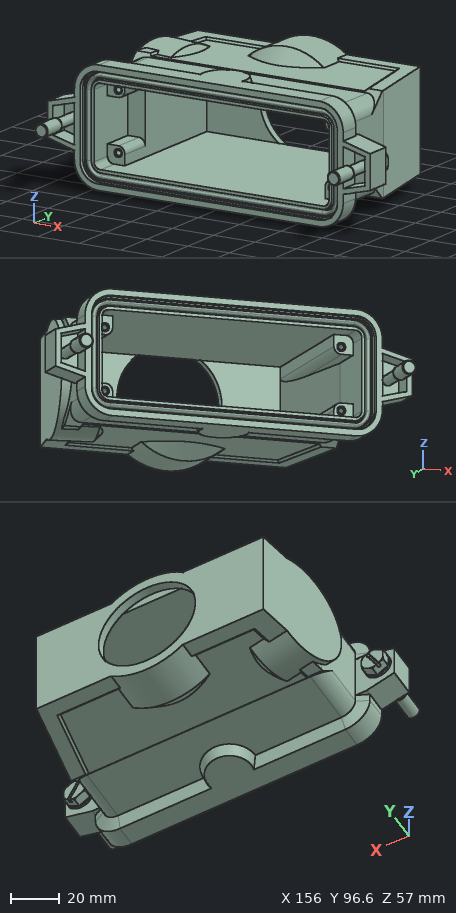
import math

import cadquery as cq


hood_depth = 80.0
wall_slope = 10.0
lean = math.tan(math.radians(wall_slope))

flange_length = 130.0
flange_width = 53.4
flange_corner = 11.6
flange_height = 12.3
flange_bevel_height = 2.5
body_length = 119.0
body_width = 42.8
body_corner = 6.6

lobe_base_radius = 12.2
lobe_top_radius = 10.4

upper_half_width = 22.9
shoulder_y = 39.2
shoulder_run = upper_half_width - (body_width / 2 - body_corner)
upper_start_y = shoulder_y - shoulder_run
straight_end_y = 40.0
upper_back_half = body_length / 2 - (hood_depth - straight_end_y) * lean

panel_depth = 1.0
panel_half_width = upper_half_width - panel_depth
back_rim = 7.3
side_rim = 7.0

back_boss_radius = 28.5
back_boss_length = 20.0
side_boss_radius = 24.9
side_boss_length = 18.2
side_pad_thickness = 5.0
side_boss_center = (-59.45, 55.5)
back_entry_radius = 22.9

cavity_length = 113.6
cavity_width = 36.7
cavity_corner = 3.0
back_wall = 4.0
cavity_depth = hood_depth - back_wall
cavity_back_half = 48.4
cavity_lean_y = cavity_depth - (cavity_length / 2 - cavity_back_half) / lean

post_front_y = 12.6
post_length = cavity_length / 2 - cavity_back_half
post_width = 8.1
post_corner = 3.2
post_hole_x = 51.7
post_hole_z = 13.4
post_hole_radius = 1.2
post_hole_depth = 15.0
post_counterbore_radius = 1.8
post_counterbore_depth = 0.5

seat_inset = 2.8
seat_depth = 2.2
groove_outer_inset = 3.6
groove_inner_inset = 6.9
groove_depth = 4.5
seal_outer_inset = 4.1
seal_inner_inset = 6.1
seal_top_y = 1.9
seal_round = 0.9

lug_tip_x = 78.0
lug_tip_half = 7.8
lug_root_half = 11.35
pocket_tip_x = 75.5
pocket_tip_half = 6.2
pocket_root_half = 8.95
lug_floor = 3.3

screw_x = 70.6
screw_tip_y = -16.6
shank_radius = 2.3
thread_radius = 3.0
thread_start_y = -4.9
thread_chamfer = 0.4
washer_radius = 5.9
washer_height = 1.0
hex_across_flats = 10.2
hex_height = 4.3
hex_chamfer = 0.5
slot_width = 1.2
slot_depth = 1.9
slot_angle = 60.0


def plane_at(y):
    """Workplane parallel to the mating face, seen with X right and Z up."""
    return cq.Workplane("XZ", origin=(0, y, 0))


def rounded_block(length, width, corner, y_start, y_end):
    """Rectangular block along Y with rounded lengthwise corners."""
    block = plane_at(y_start).rect(length, width).extrude(y_start - y_end)
    return block.edges("|Y").fillet(corner)


def inset_block(inset, y_start, y_end):
    """Block whose outline is the flange outline moved inward by the inset."""
    return rounded_block(
        flange_length - 2 * inset,
        flange_width - 2 * inset,
        flange_corner - inset,
        y_start,
        y_end,
    )


def rod(radius, y_start, y_end, x=0.0, z=0.0):
    """Cylinder along Y."""
    return plane_at(y_start).center(x, z).circle(radius).extrude(y_start - y_end)


def both_x(feature):
    return feature.union(feature.mirror("YZ"))


def both_z(feature):
    return feature.union(feature.mirror("XY"))


def make_flange_and_body():
    bevel_y = flange_height - flange_bevel_height
    flange = inset_block(0, 0, bevel_y)
    bevel = (
        cq.Workplane("XZ", origin=(0, bevel_y, 0))
        .placeSketch(
            cq.Sketch().rect(flange_length, flange_width).vertices().fillet(flange_corner),
            cq.Sketch()
            .rect(body_length, body_width)
            .vertices()
            .fillet(body_corner)
            .moved(cq.Location(cq.Vector(0, 0, -flange_bevel_height))),
        )
        .loft()
    )
    body = rounded_block(body_length, body_width, body_corner, 0, straight_end_y)
    return flange.union(bevel).union(body)


def make_lobes():
    lobe_height = (flange_width - body_width) / 2
    cone = cq.Solid.makeCone(
        lobe_base_radius,
        lobe_top_radius,
        lobe_height,
        pnt=cq.Vector(0, flange_height, body_width / 2),
        dir=cq.Vector(0, 0, 1),
    )
    return both_z(cq.Workplane(obj=cone))


def make_upper_body():
    plan = (
        cq.Workplane("XY", origin=(0, 0, -upper_half_width))
        .moveTo(-body_length / 2, upper_start_y)
        .lineTo(body_length / 2, upper_start_y)
        .lineTo(body_length / 2, straight_end_y)
        .lineTo(upper_back_half, hood_depth)
        .lineTo(-upper_back_half, hood_depth)
        .lineTo(-body_length / 2, straight_end_y)
        .close()
        .extrude(2 * upper_half_width)
    )
    low_half = upper_half_width - shoulder_run
    profile = (
        cq.Workplane("YZ", origin=(-body_length / 2, 0, 0))
        .polyline([
            (upper_start_y, -low_half),
            (shoulder_y, -upper_half_width),
            (hood_depth, -upper_half_width),
            (hood_depth, upper_half_width),
            (shoulder_y, upper_half_width),
            (upper_start_y, low_half),
        ])
        .close()
        .extrude(body_length)
    )
    return plan.intersect(profile)


def make_panel_recess():
    """Recess with 45 degree walls, open toward the lower body."""
    def outline(workplane, shrink):
        back_y = hood_depth - back_rim - shrink
        back_half = upper_back_half + back_rim * lean - side_rim - shrink
        front_half = back_half + (back_y - upper_start_y) * lean
        return workplane.polyline([
            (-front_half, upper_start_y),
            (front_half, upper_start_y),
            (back_half, back_y),
            (-back_half, back_y),
        ]).close()

    floor = outline(cq.Workplane("XY", origin=(0, 0, panel_half_width)), panel_depth)
    recess = outline(floor.workplane(offset=panel_depth), 0).loft(ruled=True)
    return both_z(recess)


def make_back_boss():
    """Round boss along Y ending in a 45 degree cone."""
    cone_y = hood_depth - back_boss_length
    cone = cq.Solid.makeCone(
        0,
        back_boss_radius,
        back_boss_radius,
        pnt=cq.Vector(0, cone_y - back_boss_radius, 0),
        dir=cq.Vector(0, 1, 0),
    )
    return rod(back_boss_radius, cone_y, hood_depth).union(cq.Workplane(obj=cone))


def make_side_boss():
    """Closed side entry: a round boss square to the sloped end wall, squared off at the back."""
    angle = math.radians(wall_slope)
    inward = cq.Vector(math.cos(angle), -math.sin(angle), 0)
    up_slope = cq.Vector(math.sin(angle), math.cos(angle), 0)
    center = cq.Vector(*side_boss_center, 0)
    face = cq.Plane(origin=center.toTuple(), xDir=up_slope.toTuple(), normal=inward.toTuple())

    cylinder = cq.Workplane(face).circle(side_boss_radius).extrude(side_boss_length)
    cone = cq.Solid.makeCone(
        side_boss_radius, 0, side_boss_radius, pnt=center + inward * side_boss_length, dir=inward
    )
    pad_length = 2 * (hood_depth - center.y)
    pad = (
        cq.Workplane(face)
        .center(pad_length / 2, 0)
        .rect(pad_length, 2 * upper_half_width)
        .extrude(side_pad_thickness)
    )
    trim_size = 2 * hood_depth
    behind_hood = cq.Workplane().box(trim_size, trim_size, trim_size).translate(
        (0, hood_depth + trim_size / 2, 0)
    )
    return cylinder.union(cq.Workplane(obj=cone)).union(pad).cut(behind_hood)


def make_posts():
    center_x = cavity_length / 2 - post_length / 2
    center_z = cavity_width / 2 - post_width / 2
    post = (
        plane_at(post_front_y)
        .center(center_x, center_z)
        .rect(post_length, post_width)
        .extrude(post_front_y - cavity_depth)
        .edges("|Y and <X and <Z")
        .fillet(post_corner)
    )
    hole_end = post_front_y + post_hole_depth
    counterbore_end = post_front_y + post_counterbore_depth
    post = post.cut(rod(post_hole_radius, post_front_y, hole_end, post_hole_x, post_hole_z))
    post = post.cut(
        rod(post_counterbore_radius, post_front_y, counterbore_end, post_hole_x, post_hole_z)
    )
    return both_x(both_z(post))


def make_cavity():
    """Hollow with a sloped wall at +X and a ledge beside the closed side entry at -X."""
    half = cavity_length / 2
    plan = (
        cq.Workplane("XY", origin=(0, 0, -cavity_width / 2))
        .polyline([
            (-half, 0),
            (half, 0),
            (half, cavity_lean_y),
            (cavity_back_half, cavity_depth),
            (-cavity_back_half, cavity_depth),
            (-cavity_back_half, cavity_lean_y),
            (-half, cavity_lean_y),
        ])
        .close()
        .extrude(cavity_width)
    )
    rounded = rounded_block(cavity_length, cavity_width, cavity_corner, 0, cavity_depth)
    return plan.intersect(rounded).cut(make_posts())


def make_seal_seat():
    """Shallow seat and deeper groove around the opening."""
    seat = inset_block(seat_inset, 0, seat_depth)
    groove = inset_block(groove_outer_inset, 0, groove_depth)
    groove = groove.cut(inset_block(groove_inner_inset, 0, groove_depth))
    return seat.union(groove)


def make_seal():
    """Round-topped seal bead standing in the groove."""
    bead = inset_block(seal_outer_inset, seal_top_y, groove_depth)
    bead = bead.cut(inset_block(seal_inner_inset, seal_top_y, groove_depth))
    return bead.faces("<Y").edges().fillet(seal_round)


def tapered_prism(root_x, root_half, tip_x, tip_half, y_start, y_end):
    """Prism along Y whose width in Z narrows toward its outer X end."""
    return (
        plane_at(y_start)
        .polyline([
            (root_x, -root_half),
            (tip_x, -tip_half),
            (tip_x, tip_half),
            (root_x, root_half),
        ])
        .close()
        .extrude(y_start - y_end)
    )


def make_lug():
    root_x = flange_length / 2
    lug = tapered_prism(root_x, lug_root_half, lug_tip_x, lug_tip_half, 0, flange_height)
    body_x = body_length / 2
    root_link = plane_at(flange_height).center((body_x + root_x) / 2, 0)
    root_link = root_link.rect(root_x - body_x, 2 * lug_root_half).extrude(flange_bevel_height)
    pocket = tapered_prism(
        root_x, pocket_root_half, pocket_tip_x, pocket_tip_half, 0, flange_height - lug_floor
    )
    return lug.cut(pocket).union(root_link)


def make_screw():
    washer_top = flange_height + washer_height
    head_top = washer_top + hex_height
    shank = rod(shank_radius, thread_start_y, washer_top)
    thread = rod(thread_radius, screw_tip_y, thread_start_y).faces("<Y or >Y").chamfer(thread_chamfer)
    washer = rod(washer_radius, flange_height, washer_top)

    corner_radius = hex_across_flats / math.sqrt(3)
    hexagon = (
        plane_at(washer_top)
        .transformed(rotate=(0, 0, 90))
        .polygon(6, 2 * corner_radius)
        .extrude(-hex_height)
    )
    turned = rod(corner_radius, washer_top, head_top).faces(">Y").chamfer(hex_chamfer)
    head = hexagon.intersect(turned)
    slot = (
        plane_at(head_top)
        .transformed(rotate=(0, 0, 180 - slot_angle))
        .rect(2 * corner_radius, slot_width)
        .extrude(slot_depth)
    )
    screw = shank.union(thread).union(washer).union(head.cut(slot))
    return screw.translate((screw_x, 0, 0))


upper = make_upper_body().cut(make_panel_recess())
hood = make_flange_and_body().union(make_lobes()).union(upper)
hood = hood.union(make_back_boss()).union(make_side_boss())
hood = hood.cut(make_cavity())
hood = hood.cut(rod(back_entry_radius, cavity_depth, hood_depth))
hood = hood.cut(make_seal_seat()).union(make_seal())
hood = hood.union(both_x(make_lug()))
result = hood.union(both_x(make_screw()))